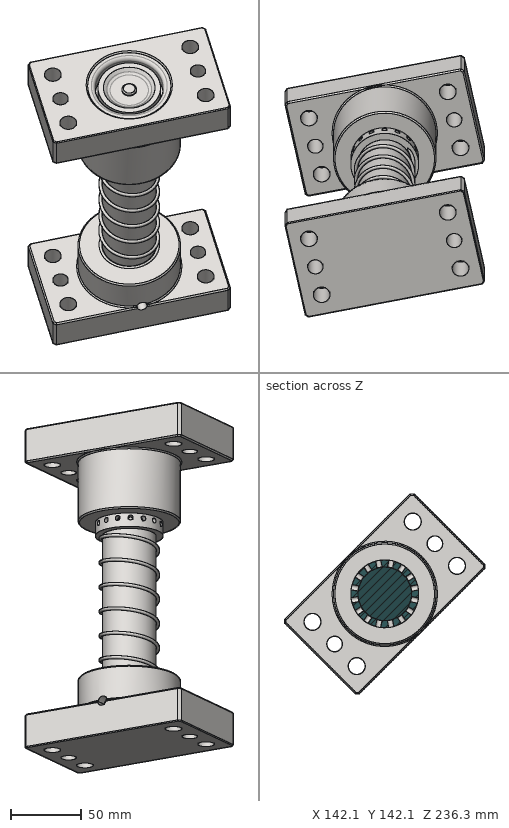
import cadquery as cq
total_height = 236.3
plate_thickness = 25.0
boss_height = 25.0
bushing_depth = 70.0
cage_depth = 80.0

plate_top = plate_thickness
boss_top = plate_top + boss_height
upper_plate_bottom = total_height - plate_thickness
bushing_bottom = total_height - bushing_depth
cage_bottom = total_height - cage_depth

plate_length = 130.0
plate_width = 75.0
plate_angle = 45.0
corner_chamfer = 2.0
edge_chamfer = 1.06
outer_edge_chamfer = 0.7
hole_row_offset = 50.3
hole_spacing = 22.2
outer_hole_radius = 6.0
middle_hole_radius = 5.5

collar_radius = 36.5
collar_flare = 1.0
bushing_radius = 29.5
bushing_recess = 1.0
bushing_top = total_height - bushing_recess
bushing_bore_radius = 24.0
bushing_mouth_radius = 2.8

joint_hole_radius = 3.5
joint_hole_depth = 9.5

pillar_radius = 19.1
disc_radius = 22.2
disc_thickness = 7.8
disc_top = 233.0
disc_bottom = disc_top - disc_thickness
dish_rim_radius = 18.32
dish_floor_radius = 15.0
dish_depth = 2.8
dish_fillet = 3.5
dish_floor = disc_top - dish_depth
screw_radius = 5.2
screw_rise = 2.0
screw_chamfer = 1.06
screw_depth = 9.5

cage_radius = bushing_bore_radius
pocket_count = 16
pocket_radius = 1.77
pocket_drop = 3.3

wire_radius = 1.2
coil_clearance = 0.12
coil_radius = pillar_radius + coil_clearance + wire_radius
pitch = 18.08
spring_start = boss_top - pitch / 2
spring_end = cage_bottom + pitch / 2


def cylinder(radius, bottom, top):
    return cq.Workplane("XY", origin=(0, 0, bottom)).circle(radius).extrude(top - bottom)


def flared_collar(height):
    """Collar standing on Z = 0, flared at the foot and chamfered at the free end."""
    foot_radius = collar_radius + collar_flare
    free_end_radius = collar_radius - edge_chamfer
    return (
        cq.Workplane("XZ")
        .lineTo(foot_radius, 0)
        .lineTo(collar_radius, collar_flare)
        .lineTo(collar_radius, height - edge_chamfer)
        .lineTo(free_end_radius, height)
        .lineTo(0, height)
        .close()
        .revolve(360, (0, 0, 0), (0, 1, 0))
    )


def drilled_plate(bottom, inner_face, outer_face):
    """Chamfered plate with a row of three through holes near each end."""
    plate = (
        cq.Workplane("XY", origin=(0, 0, bottom))
        .rect(plate_length, plate_width)
        .extrude(plate_thickness)
        .edges("|Z").chamfer(corner_chamfer)
        .faces(inner_face).edges().chamfer(edge_chamfer)
        .faces(outer_face).edges().chamfer(outer_edge_chamfer)
    )
    rows = (-hole_row_offset, hole_row_offset)
    outer_points = [(x, y) for x in rows for y in (-hole_spacing, hole_spacing)]
    middle_points = [(x, 0) for x in rows]
    for points, radius in ((outer_points, outer_hole_radius), (middle_points, middle_hole_radius)):
        holes = (
            cq.Workplane("XY", origin=(0, 0, bottom))
            .pushPoints(points)
            .circle(radius)
            .extrude(plate_thickness)
        )
        plate = plate.cut(holes)
    return plate.rotate((0, 0, 0), (0, 0, 1), plate_angle)


def make_joint_hole():
    """Cutter for the radial hole in the middle of the long side facing +X and -Y."""
    inner_end = cq.Vector(0, -plate_width / 2 + joint_hole_depth, plate_top)
    hole = cq.Solid.makeCylinder(joint_hole_radius, 2 * joint_hole_depth, inner_end, cq.Vector(0, -1, 0))
    return cq.Workplane(hole).rotate((0, 0, 0), (0, 0, 1), plate_angle)


def make_lower_plate():
    return drilled_plate(0, ">Z", "<Z").cut(make_joint_hole())


def make_boss():
    boss = flared_collar(boss_height).translate((0, 0, plate_top))
    boss = boss.cut(cylinder(pillar_radius, plate_top, boss_top))
    return boss.cut(make_joint_hole())


def make_pillar():
    pillar = cylinder(pillar_radius, plate_top, disc_bottom)
    return pillar.cut(cylinder(screw_radius, disc_bottom - screw_depth, disc_bottom))


def make_spring():
    helix = cq.Wire.makeHelix(pitch, spring_end - spring_start, coil_radius, lefthand=True)
    coil = (
        cq.Workplane("XZ")
        .center(coil_radius, 0)
        .circle(wire_radius)
        .sweep(cq.Workplane(helix), isFrenet=True)
        .translate((0, 0, spring_start))
    )
    end_turn = cq.Workplane(cq.Solid.makeTorus(coil_radius, wire_radius))
    end_turn = end_turn.translate((0, 0, boss_top - wire_radius / 2))
    return coil.union(end_turn).intersect(cylinder(collar_radius, boss_top, cage_bottom))


def make_cage():
    cage = cylinder(cage_radius, cage_bottom, disc_bottom)
    cage = cage.cut(cylinder(pillar_radius, cage_bottom, disc_bottom))
    pocket = (
        cq.Workplane("YZ", origin=(0, 0, bushing_bottom - pocket_drop))
        .circle(pocket_radius)
        .extrude(2 * cage_radius)
    )
    step = 360 / pocket_count
    for index in range(pocket_count):
        cage = cage.cut(pocket.rotate((0, 0, 0), (0, 0, 1), (index + 0.5) * step))
    return cage


def make_bushing():
    collar = flared_collar(upper_plate_bottom - bushing_bottom)
    collar = collar.rotate((0, 0, 0), (1, 0, 0), 180).translate((0, 0, upper_plate_bottom))
    bushing = collar.union(cylinder(bushing_radius, upper_plate_bottom, bushing_top))
    bushing = bushing.cut(cylinder(bushing_bore_radius, bushing_bottom, bushing_top))
    bore_edge = cq.selectors.RadiusNthSelector(0)
    return bushing.faces(">Z").edges(bore_edge).fillet(bushing_mouth_radius)


def make_upper_plate():
    plate = drilled_plate(upper_plate_bottom, "<Z", ">Z")
    plate = plate.cut(cylinder(bushing_radius, upper_plate_bottom, total_height))
    bore_edge = cq.selectors.RadiusNthSelector(-1)
    return plate.faces(">Z").edges("%CIRCLE").edges(bore_edge).chamfer(edge_chamfer)


def make_retaining_disc():
    disc = cylinder(disc_radius, disc_bottom, disc_top)
    dish = (
        cq.Workplane("XZ")
        .moveTo(0, dish_floor)
        .lineTo(dish_floor_radius, dish_floor)
        .lineTo(dish_rim_radius, disc_top)
        .lineTo(0, disc_top)
        .close()
        .revolve(360, (0, 0, 0), (0, 1, 0))
        .faces("<Z").edges().fillet(dish_fillet)
    )
    return disc.cut(dish).cut(cylinder(screw_radius, disc_bottom, dish_floor))


def make_screw():
    screw = cylinder(screw_radius, disc_bottom - screw_depth, dish_floor + screw_rise)
    return screw.faces(">Z").edges().chamfer(screw_chamfer)


lower_plate = make_lower_plate()
boss = make_boss()
pillar = make_pillar()
spring = make_spring()
cage = make_cage()
bushing = make_bushing()
upper_plate = make_upper_plate()
retaining_disc = make_retaining_disc()
screw = make_screw()

result = cq.Compound.makeCompound([
    lower_plate.val(),
    boss.val(),
    pillar.val(),
    spring.val(),
    cage.val(),
    bushing.val(),
    upper_plate.val(),
    retaining_disc.val(),
    screw.val(),
])